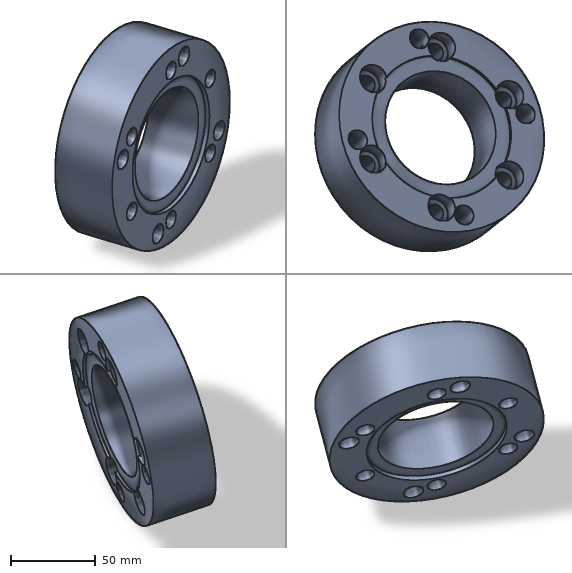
import cadquery as cq

outer_diameter = 130
thickness = 40.0
bore_diameter = 70.0

front_recess_diameter = 88.0
front_recess_depth = 2.0

back_recess_diameter = 85.0
back_recess_depth = 3.0

screw_count = 6
screw_circle_diameter = 100.0
screw_start_angle = 90
screw_hole_diameter = 11.0
counterbore_diameter = 17.0
counterbore_depth = 12.0

plain_count = 4
plain_circle_diameter = 110.0
plain_hole_diameter = 12.0
plain_start_angle = -15

front_plane = cq.Plane(origin=(-thickness / 2, 0, 0), xDir=(0, 1, 0), normal=(1, 0, 0))


def disc(diameter, depth):
    """Cylinder centred on the axis, running from the front face into the body."""
    return cq.Workplane(front_plane).circle(diameter / 2).extrude(depth)


def disc_pattern(circle_diameter, start_angle, count, diameter, depth):
    """Cylinders spaced evenly on a circle, running from the front face into the body."""
    return (
        cq.Workplane(front_plane)
        .polarArray(circle_diameter / 2, start_angle, 360, count)
        .circle(diameter / 2)
        .extrude(depth)
    )


ring = disc(outer_diameter, thickness).cut(disc(bore_diameter, thickness))
ring = ring.cut(disc(front_recess_diameter, front_recess_depth))
ring = ring.cut(disc(back_recess_diameter, back_recess_depth).translate((thickness - back_recess_depth, 0, 0)))

ring = ring.cut(
    disc_pattern(screw_circle_diameter, screw_start_angle, screw_count, screw_hole_diameter, thickness)
)
ring = ring.cut(
    disc_pattern(
        screw_circle_diameter, screw_start_angle, screw_count, counterbore_diameter, counterbore_depth
    )
)

result = ring.cut(
    disc_pattern(plain_circle_diameter, plain_start_angle, plain_count, plain_hole_diameter, thickness)
)